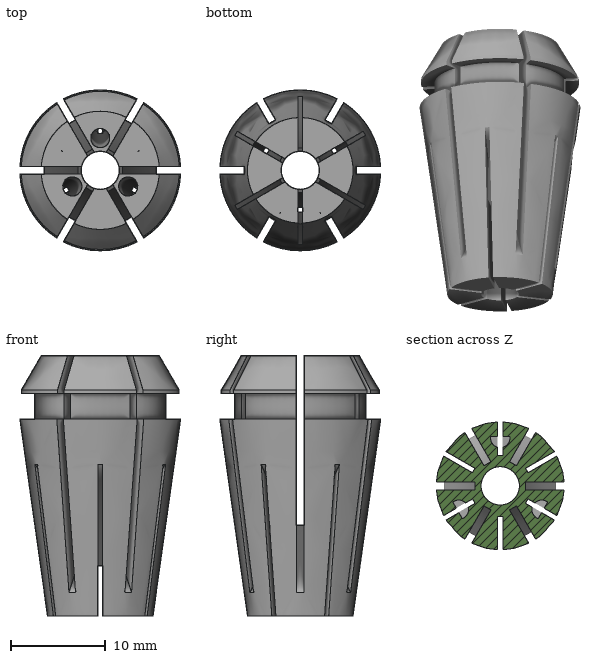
import cadquery as cq
import math

length = 27.5
max_radius = 8.5
bore_radius = 2.0

taper_half_angle = 8.0
taper_length = 20.8
tail_radius = max_radius - taper_length * math.tan(math.radians(taper_half_angle))

groove_radius = 6.94
groove_width = 2.7
nose_bottom = taper_length + groove_width

nose_radius = 8.35
nose_land = 0.35
nose_half_angle = 30.0
land_top = nose_bottom + nose_land
face_radius = nose_radius - (length - land_top) * math.tan(math.radians(nose_half_angle))

slots_per_set = 6
slot_pitch = 360.0 / slots_per_set
nose_saw_radius = 25.0
tail_saw_radius = 21.0
slot_inner_radius = 2.35
slot_root_slope = 5.0
slot_root_drop = slot_inner_radius * math.tan(math.radians(slot_root_slope))
slot_reach = max_radius + 1.0

nose_slot_width = 0.8
nose_slot_inner_height = 9.6
nose_slot_outer_height = 2.5

tail_slot_width = 0.5
tail_slot_inner_height = 5.3
tail_slot_outer_height = 16.0

hole_count = 3
hole_first_angle = 90.0
hole_radius = 1.0
hole_pitch_radius = 3.4
hole_tilt = 5.0
hole_depth = 19.0
hole_overrun = 1.0


def taper_radius(height):
    """Outer radius of the locating taper at a height above the tail."""
    return tail_radius + height * math.tan(math.radians(taper_half_angle))


def make_body():
    """Revolved collet blank with its through bore."""
    return (
        cq.Workplane("XZ")
        .moveTo(bore_radius, 0)
        .lineTo(tail_radius, 0)
        .lineTo(max_radius, taper_length)
        .lineTo(groove_radius, taper_length)
        .lineTo(groove_radius, nose_bottom)
        .lineTo(nose_radius, nose_bottom)
        .lineTo(nose_radius, land_top)
        .lineTo(face_radius, length)
        .lineTo(bore_radius, length)
        .close()
        .revolve(360, (0, 0, 0), (0, 1, 0))
    )


def make_slot(width, inner_height, outer_height, open_height, root_rise, arc_radius):
    """Radial slot along +X: a short sloped root at the bore, then a saw-cut arc out to the taper."""
    return (
        cq.Workplane("XZ")
        .moveTo(0, open_height)
        .lineTo(0, inner_height + root_rise)
        .lineTo(slot_inner_radius, inner_height)
        .radiusArc((taper_radius(outer_height), outer_height), arc_radius)
        .lineTo(slot_reach, outer_height)
        .lineTo(slot_reach, open_height)
        .close()
        .extrude(width / 2, both=True)
    )


def make_hole():
    """Inclined hole tool along the +X radial plane, started above the nose face."""
    tilt = math.radians(hole_tilt)
    axis = cq.Vector(math.sin(tilt), 0, -math.cos(tilt))
    start = cq.Vector(hole_pitch_radius, 0, length) - axis * hole_overrun
    return cq.Workplane(cq.Solid.makeCylinder(hole_radius, hole_depth + hole_overrun, start, axis))


def cut_around(body, tool, count, first_angle):
    """Cut copies of a tool evenly spaced about the Z axis."""
    for index in range(count):
        angle = first_angle + index * 360.0 / count
        body = body.cut(tool.rotate((0, 0, 0), (0, 0, 1), angle))
    return body


nose_slot = make_slot(
    nose_slot_width, nose_slot_inner_height, nose_slot_outer_height, length, -slot_root_drop, -nose_saw_radius
)
tail_slot = make_slot(
    tail_slot_width, tail_slot_inner_height, tail_slot_outer_height, 0, slot_root_drop, tail_saw_radius
)

result = make_body()
result = cut_around(result, nose_slot, slots_per_set, 0)
result = cut_around(result, tail_slot, slots_per_set, slot_pitch / 2)
result = cut_around(result, make_hole(), hole_count, hole_first_angle)